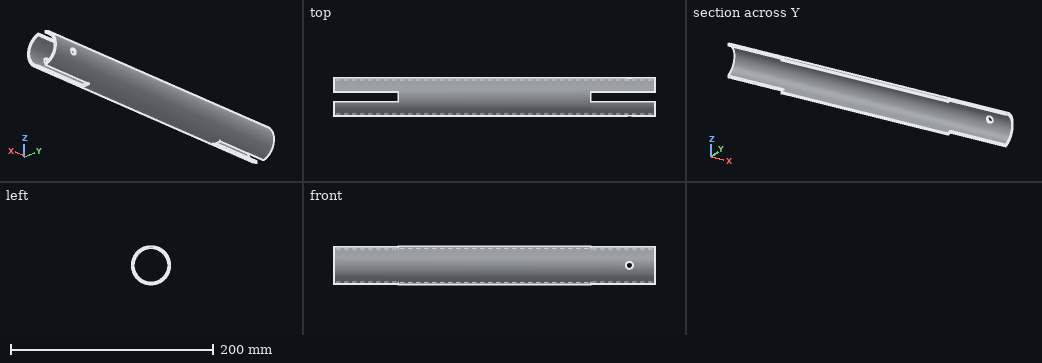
import cadquery as cq

tube_length = 317.5
outer_diameter = 38.1
inner_diameter = 33.88

slot_length = 63.5
slot_width = 9.525

cross_hole_diameter = 6.73
cross_hole_end_distance = 25.4

cut_depth = 2 * outer_diameter


def make_tube():
    """Plain round tube along X."""
    return (
        cq.Workplane("YZ")
        .circle(outer_diameter / 2)
        .circle(inner_diameter / 2)
        .extrude(tube_length / 2, both=True)
    )


def make_end_slot(side):
    """Slot cutter for one tube end; side is -1 for the -X end, +1 for the +X end."""
    slot_center_x = side * (tube_length - slot_length) / 2
    return cq.Workplane("XY").box(slot_length, slot_width, cut_depth).translate((slot_center_x, 0, 0))


def make_cross_hole():
    """Round cutter along Y through both side walls."""
    hole_x = tube_length / 2 - cross_hole_end_distance
    return (
        cq.Workplane("XZ")
        .center(hole_x, 0)
        .circle(cross_hole_diameter / 2)
        .extrude(cut_depth / 2, both=True)
    )


result = make_tube()
for end_side in (-1, 1):
    result = result.cut(make_end_slot(end_side))
result = result.cut(make_cross_hole())